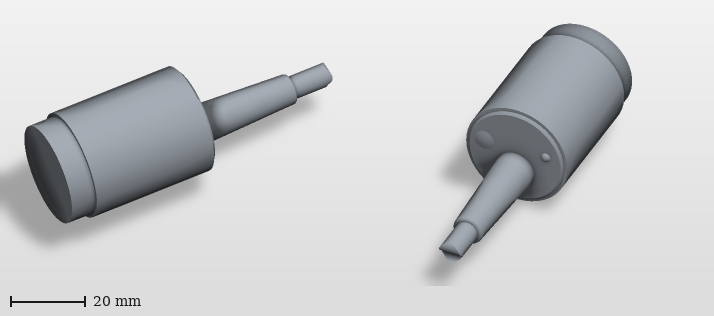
import cadquery as cq

total_length = 84.0

body_diameter = 30.0
collar_diameter = 28.0
nose_length = 7.0
body_end = 42.15
rear_face = 43.2
collar_chamfer = 0.5

outlet_drop = 4.45
boot_base_diameter = 11.25
boot_tip_diameter = 8.5
boot_end = 73.0
boot_round = 1.0
cable_diameter = 6.4

bulge_depth = 0.8
hollow_depth = 1.1

detail_offset = 9.1
detail_height = 2.8
lamp_diameter = 2.8
lamp_rise = 0.9
button_diameter = 5.8
button_rise = 0.5


def cylinder(diameter, y_start, y_end, z=0.0):
    """Cylinder along +Y between two stations, with its axis at height z."""
    start_plane = cq.Workplane("XZ", origin=(0, y_start, z))
    return start_plane.circle(diameter / 2).extrude(y_start - y_end)


def housing():
    """Stepped cylinder: nose, body and chamfered rear collar."""
    collar = cylinder(collar_diameter, 0, rear_face).faces(">Y").edges().chamfer(collar_chamfer)
    return collar.union(cylinder(body_diameter, nose_length, body_end))


def boot():
    """Tapered strain relief with a rounded tip."""
    profile = (
        cq.Workplane("XY")
        .moveTo(0, rear_face)
        .lineTo(boot_base_diameter / 2, rear_face)
        .lineTo(boot_tip_diameter / 2, boot_end)
        .lineTo(0, boot_end)
        .close()
    )
    cone = profile.revolve(360, (0, 0, 0), (0, 1, 0))
    return cone.faces(">Y").edges().fillet(boot_round).translate((0, 0, -outlet_drop))


def cable():
    """Round cable whose end is shaped by an S-curve that runs straight through along X."""
    radius = cable_diameter / 2
    curve_end = total_length - bulge_depth
    end_shape = (
        cq.Workplane("YZ", origin=(0, 0, -outlet_drop))
        .moveTo(boot_end, -radius)
        .lineTo(curve_end, -radius)
        .threePointArc((curve_end - hollow_depth, -radius / 2), (curve_end, 0))
        .threePointArc((total_length, radius / 2), (curve_end, radius))
        .lineTo(boot_end, radius)
        .close()
        .extrude(radius, both=True)
    )
    return cylinder(cable_diameter, boot_end, total_length, -outlet_drop).intersect(end_shape)


def cap_midpoint(base_radius, rise):
    """Point halfway up a spherical cap, as (radius, height) from its base."""
    sphere_radius = (base_radius**2 + rise**2) / (2 * rise)
    radius_squared = sphere_radius**2 - (sphere_radius - rise / 2) ** 2
    return radius_squared**0.5, rise / 2


def rear_dome(diameter, rise, x):
    """Shallow spherical cap standing on the rear face."""
    cap = (
        cq.Workplane("XY")
        .moveTo(0, 0)
        .lineTo(diameter / 2, 0)
        .threePointArc(cap_midpoint(diameter / 2, rise), (0, rise))
        .close()
        .revolve(360, (0, 0, 0), (0, 1, 0))
    )
    return cap.translate((x, rear_face, detail_height))


result = (
    housing()
    .union(boot())
    .union(cable())
    .union(rear_dome(lamp_diameter, lamp_rise, -detail_offset))
    .union(rear_dome(button_diameter, button_rise, detail_offset))
)